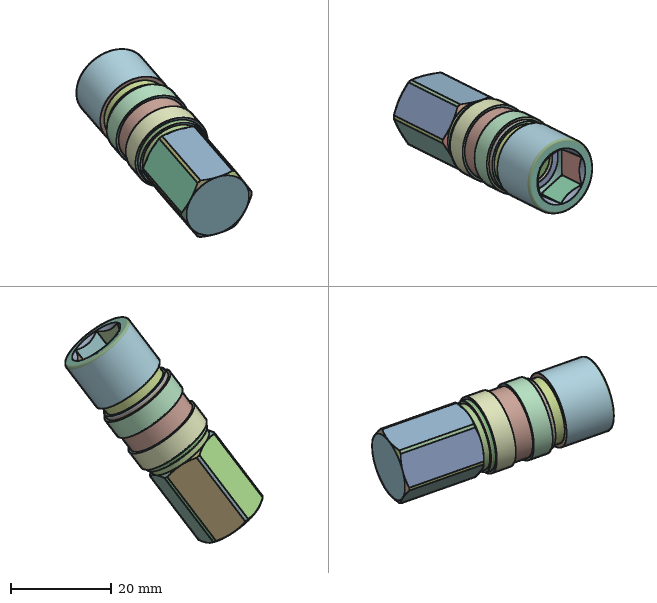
import cadquery as cq
import math

LENGTH = 47.0
SOCKET_BODY_END = 10.9
FRONT_NECK_END = 13.2
FRONT_RING_START = 14.2
FRONT_RING_END = 18.42
REAR_RING_START = 22.5
REAR_RING_END = 26.8
COLLAR_END = 27.8
HEX_START = 29.15

RING_DIAMETER = 16.2
BODY_DIAMETER = 15.75
COLLAR_DIAMETER = 15.2
NECK_DIAMETER = 14.0

MOUTH_FILLET = 0.5
COLLAR_CHAMFER_LENGTH = 0.35
COLLAR_CHAMFER_HEIGHT = 0.1

SHANK_FLATS = NECK_DIAMETER
SHANK_CHAMFER_ANGLE = 30.0

SOCKET_FLATS = 10.1
SOCKET_DEPTH = 6.9
LEAD_IN_DIAMETER = 11.8
LEAD_IN_ANGLE = 45.0
RELIEF_DIAMETER = LEAD_IN_DIAMETER
RELIEF_DEPTH = 9.4
BORE_DIAMETER = 9.05
BORE_DEPTH = 10.35


def cylinder(start, end, diameter):
    return cq.Workplane("YZ", origin=(start, 0, 0)).circle(diameter / 2).extrude(end - start)


def hexagon(start, end, flats, turn):
    """Hexagonal prism along X; with turn = 0 its corners lie on the Y axis."""
    corners = flats / math.cos(math.radians(30))
    prism = cq.Workplane("YZ", origin=(start, 0, 0)).polygon(6, corners).extrude(end - start)
    return prism.rotate((0, 0, 0), (1, 0, 0), turn)


def turned_body():
    body = cylinder(0, SOCKET_BODY_END, BODY_DIAMETER).faces("<X").edges().fillet(MOUTH_FILLET)
    collar = (
        cylinder(FRONT_NECK_END, COLLAR_END, COLLAR_DIAMETER)
        .edges("%CIRCLE")
        .chamfer(COLLAR_CHAMFER_LENGTH, COLLAR_CHAMFER_HEIGHT)
    )
    neck = cylinder(SOCKET_BODY_END, HEX_START, NECK_DIAMETER)
    body = body.union(neck).union(collar)
    for start, end in ((FRONT_RING_START, FRONT_RING_END), (REAR_RING_START, REAR_RING_END)):
        body = body.union(cylinder(start, end, RING_DIAMETER))
    return body


def shank():
    chamfer_height = (BODY_DIAMETER - SHANK_FLATS) / 2
    chamfer_length = chamfer_height * math.tan(math.radians(SHANK_CHAMFER_ANGLE))
    envelope = (
        cylinder(HEX_START, LENGTH, BODY_DIAMETER)
        .edges("%CIRCLE")
        .chamfer(chamfer_length, chamfer_height)
    )
    return hexagon(HEX_START, LENGTH, SHANK_FLATS, 0).intersect(envelope)


def socket():
    lead_in_radius = LEAD_IN_DIAMETER / 2
    lead_in_depth = (lead_in_radius - SOCKET_FLATS / 2) / math.tan(math.radians(LEAD_IN_ANGLE))
    lead_in = (
        cq.Workplane("XY")
        .polyline([(0, 0), (0, lead_in_radius), (lead_in_depth, SOCKET_FLATS / 2), (lead_in_depth, 0)])
        .close()
        .revolve(360, (0, 0, 0), (1, 0, 0))
    )
    hex_hole = hexagon(0, SOCKET_DEPTH, SOCKET_FLATS, 30)
    relief = cylinder(SOCKET_DEPTH, RELIEF_DEPTH, RELIEF_DIAMETER)
    bore = cylinder(RELIEF_DEPTH, BORE_DEPTH, BORE_DIAMETER)
    return hex_hole.union(lead_in).union(relief).union(bore)


result = turned_body().union(shank()).cut(socket())